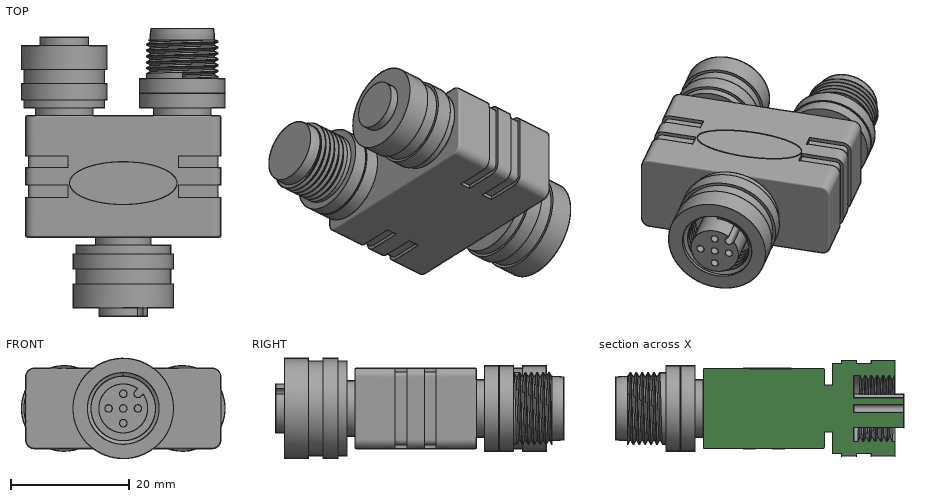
import cadquery as cq


BODY_X = 33.0
BODY_Y = 20.55
BODY_Z = 13.65
EDGE_RADIUS = 1.5
END_FILLET = 0.3

GRIPS = ((2.5, 1.95), (-2.5, 2.1))
GRIP_INNER_X = 9.3
GRIP_SIDE_DEPTH = 0.5
GRIP_FACE_DEPTH = 0.65

LABEL_LENGTH = 18.15
LABEL_WIDTH = 7.25
LABEL_Y = -1.1
LABEL_DEPTH = 0.1

INSERT_LENGTH = 1.45
INSERT_DIAMETER = 8.3
RIM_LENGTH = 4.05
TRUNK_NUT_DIAMETER = 17.0
TRUNK_STEPS = (
    (1.3, 9.45),
    (1.5, 16.05),
    (2.6, TRUNK_NUT_DIAMETER),
    (2.5, 16.05),
    (RIM_LENGTH, TRUNK_NUT_DIAMETER),
    (INSERT_LENGTH, INSERT_DIAMETER),
)

BRANCH_X = 10.0
BRANCH_NUT_DIAMETER = 14.5
BRANCH_NECK = (1.3, 9.8)
SOCKET_STEPS = (
    BRANCH_NECK,
    (1.35, 13.65),
    (2.75, BRANCH_NUT_DIAMETER),
    (2.4, 13.65),
    (RIM_LENGTH, BRANCH_NUT_DIAMETER),
    (INSERT_LENGTH, INSERT_DIAMETER),
)

PLUG_NUT_LENGTH = 4.95
PLUG_GROOVE_POSITION = PLUG_NUT_LENGTH / 2
PLUG_GROOVE_WIDTH = 0.15
PLUG_GROOVE_DEPTH = 0.15
PLUG_THREAD_LENGTH = 6.5
PLUG_END_LENGTH = 2.0
PLUG_END_DIAMETER = 10.85
PLUG_TAPER_LENGTH = 1.0
PLUG_TIP_DIAMETER = 10.6

SOCKET_THREAD_LENGTH = 6.0
SOCKET_THREAD_TURNS = 6
THREAD_PITCH = SOCKET_THREAD_LENGTH / SOCKET_THREAD_TURNS
THREAD_MINOR = 10.9
THREAD_MAJOR = 12.15
THREAD_BASE_WIDTH = 0.92 * THREAD_PITCH
THREAD_TIP_WIDTH = 0.25 * THREAD_PITCH
THREAD_OVERLAP = 0.05
THREAD_START_ANGLE = 90
PLUG_THREAD_TURNS = 7

CAVITY_DEPTH = SOCKET_THREAD_LENGTH + THREAD_PITCH
PIN_DIAMETER = 1.25
PIN_SPACING = 2.5
KEY_WIDTH = 1.3
KEY_CENTRE_RADIUS = 3.5
KEY_ANGLE = 45


def stack_length(steps):
    return sum(length for length, diameter in steps)


def stepped_cylinder(steps):
    """Coaxial cylinders stacked along +Z from the origin."""
    solid = cq.Workplane("XY")
    height = 0
    for length, diameter in steps:
        step = cq.Workplane("XY", origin=(0, 0, height)).circle(diameter / 2).extrude(length)
        solid = solid.union(step)
        height += length
    return solid


def thread_helix(turns, start):
    """Helical V around Z, wide at the major diameter and pointing inward to the minor one.

    It is added to the socket bore as a ridge and cut from the plug barrel as a groove.
    """
    major = THREAD_MAJOR / 2
    minor = THREAD_MINOR / 2
    outer = major + THREAD_OVERLAP
    base = THREAD_BASE_WIDTH / 2
    tip = THREAD_TIP_WIDTH / 2
    helix = cq.Workplane(obj=cq.Wire.makeHelix(THREAD_PITCH, turns * THREAD_PITCH, major))
    profile = cq.Workplane("XZ").polyline(
        [(outer, -base), (minor, -tip), (minor, tip), (outer, base)]
    ).close()
    solid = profile.sweep(helix, isFrenet=True)
    return solid.rotate((0, 0, 0), (0, 0, 1), THREAD_START_ANGLE).translate((0, 0, start))


def block():
    solid = cq.Workplane("XY").box(BODY_X, BODY_Y, BODY_Z)
    solid = solid.edges("|Y").fillet(EDGE_RADIUS)
    solid = solid.faces("<Y or >Y").fillet(END_FILLET)
    for centre_y, width in GRIPS:
        solid = solid.cut(grip_groove(centre_y, width))
    label = (
        cq.Workplane("XY", origin=(0, LABEL_Y, BODY_Z / 2 - LABEL_DEPTH))
        .ellipse(LABEL_LENGTH / 2, LABEL_WIDTH / 2)
        .extrude(2 * LABEL_DEPTH)
    )
    return solid.cut(label)


def grip_groove(centre_y, width):
    """Band around the block that leaves a rounded core and stops short of the middle."""
    core = (
        cq.Workplane("XY")
        .box(BODY_X - 2 * GRIP_SIDE_DEPTH, width, BODY_Z - 2 * GRIP_FACE_DEPTH)
        .edges("|Y")
        .fillet(EDGE_RADIUS - GRIP_FACE_DEPTH)
    )
    middle = cq.Workplane("XY").box(2 * GRIP_INNER_X, width, BODY_Z)
    band = cq.Workplane("XY").box(BODY_X, width, BODY_Z)
    return band.cut(core).cut(middle).translate((0, centre_y, 0))


def trunk_connector():
    solid = stepped_cylinder(TRUNK_STEPS)
    tip = stack_length(TRUNK_STEPS)
    rim = tip - INSERT_LENGTH
    floor = rim - CAVITY_DEPTH
    insert_height = tip - floor

    cavity = (
        cq.Workplane("XY", origin=(0, 0, floor))
        .circle(THREAD_MAJOR / 2)
        .circle(INSERT_DIAMETER / 2)
        .extrude(CAVITY_DEPTH)
    )
    pins = (
        cq.Workplane("XY", origin=(0, 0, floor))
        .pushPoints([
            (0, 0),
            (PIN_SPACING, 0),
            (-PIN_SPACING, 0),
            (0, PIN_SPACING),
            (0, -PIN_SPACING),
        ])
        .circle(PIN_DIAMETER / 2)
        .extrude(insert_height)
    )
    key_length = INSERT_DIAMETER / 2 - KEY_CENTRE_RADIUS + KEY_WIDTH
    key = (
        cq.Workplane("XY", origin=(0, 0, floor))
        .center(KEY_CENTRE_RADIUS + (key_length - KEY_WIDTH) / 2, 0)
        .slot2D(key_length, KEY_WIDTH)
        .extrude(insert_height)
        .rotate((0, 0, 0), (0, 0, 1), KEY_ANGLE)
    )
    solid = solid.cut(cavity).cut(pins).cut(key)
    thread_start = rim - SOCKET_THREAD_LENGTH - THREAD_BASE_WIDTH / 2
    return solid.union(thread_helix(SOCKET_THREAD_TURNS, thread_start))


def plug_connector():
    solid = stepped_cylinder((
        BRANCH_NECK,
        (PLUG_NUT_LENGTH, BRANCH_NUT_DIAMETER),
        (PLUG_THREAD_LENGTH, THREAD_MAJOR),
        (PLUG_END_LENGTH, PLUG_END_DIAMETER),
    ))
    nut_start = BRANCH_NECK[0]
    nut_end = nut_start + PLUG_NUT_LENGTH
    groove_start = nut_start + PLUG_GROOVE_POSITION - PLUG_GROOVE_WIDTH / 2
    groove = (
        cq.Workplane("XY", origin=(0, 0, groove_start))
        .circle(BRANCH_NUT_DIAMETER / 2)
        .circle(BRANCH_NUT_DIAMETER / 2 - PLUG_GROOVE_DEPTH)
        .extrude(PLUG_GROOVE_WIDTH)
    )
    taper = (PLUG_END_DIAMETER - PLUG_TIP_DIAMETER) / 2
    solid = solid.faces(">Z").chamfer(PLUG_TAPER_LENGTH, taper)
    thread = thread_helix(PLUG_THREAD_TURNS, nut_end + THREAD_PITCH / 2)
    solid = solid.cut(groove).cut(thread)
    return solid.rotate((0, 0, 0), (0, 0, 1), 180)


def onto_back(connector, x):
    """Turn a +Z connector to +Y and seat it on the back face of the block."""
    return connector.rotate((0, 0, 0), (1, 0, 0), -90).translate((x, BODY_Y / 2, 0))


def onto_front(connector):
    """Turn a +Z connector to -Y and seat it on the front face of the block."""
    return connector.rotate((0, 0, 0), (1, 0, 0), 90).translate((0, -BODY_Y / 2, 0))


result = (
    block()
    .union(onto_front(trunk_connector()))
    .union(onto_back(stepped_cylinder(SOCKET_STEPS), -BRANCH_X))
    .union(onto_back(plug_connector(), BRANCH_X))
)